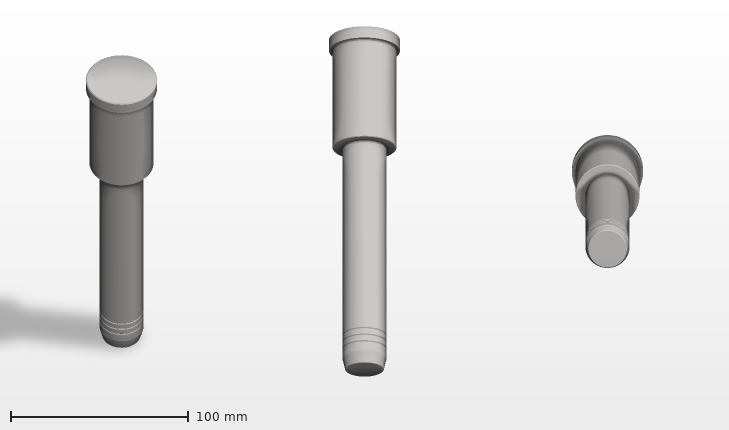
import cadquery as cq

total_length = 200.0
head_height = 7.0
head_and_sleeve_height = 66.0
sleeve_bottom = total_length - head_and_sleeve_height
head_bottom = total_length - head_height

head_radius = 20.0
sleeve_radius = 18.0
pin_radius = 12.5

head_chamfer = 0.5
sleeve_chamfer = 0.5
undercut_height = 1.0
undercut_depth = 0.5
neck_height = 1.2
neck_depth = 0.5

tip_height = 7.0
tip_end_radius = 10.8
tip_fillet = 0.5

groove_count = 3
groove_pitch = 4.0
lowest_groove_center = 12.5
groove_width = 1.0
groove_depth = 0.5


def cylinder(radius, bottom, top):
    """Solid cylinder about the Z axis."""
    return cq.Workplane("XY").workplane(offset=bottom).circle(radius).extrude(top - bottom)


def ring_cut(radius, depth, bottom, height):
    """Ring that removes the given depth from a cylinder of this radius."""
    ring = cq.Workplane("XY").workplane(offset=bottom).circle(radius + depth).circle(radius - depth)
    return ring.extrude(height)


def v_groove_cut(radius, depth, bottom, width):
    """Ring of triangular section that cuts a V-groove into a cylinder of this radius."""
    section = [(radius, bottom), (radius - depth, bottom + width / 2), (radius, bottom + width)]
    return cq.Workplane("XZ").polyline(section).close().revolve(360, (0, 0), (0, 1))


def make_pin():
    """Long pin with a rounded, tapered tip and three V-shaped ring grooves."""
    shaft = cylinder(pin_radius, tip_height, sleeve_bottom)
    tip = (
        cq.Workplane("XY")
        .circle(tip_end_radius)
        .workplane(offset=tip_height)
        .circle(pin_radius)
        .loft(ruled=True)
        .faces("<Z")
        .edges()
        .fillet(tip_fillet)
    )
    pin = shaft.union(tip)
    for index in range(groove_count):
        center = lowest_groove_center + index * groove_pitch
        pin = pin.cut(v_groove_cut(pin_radius, groove_depth, center - groove_width / 2, groove_width))
    return pin.cut(ring_cut(pin_radius, neck_depth, sleeve_bottom - neck_height, neck_height))


def make_sleeve():
    """Thick shank with a chamfered lower edge and a V-shaped undercut below the head."""
    sleeve = cylinder(sleeve_radius, sleeve_bottom, head_bottom).faces("<Z").edges().chamfer(sleeve_chamfer)
    undercut_bottom = head_bottom - undercut_height
    return sleeve.cut(v_groove_cut(sleeve_radius, undercut_depth, undercut_bottom, undercut_height))


def make_head():
    """Flat head with a chamfered top edge."""
    return cylinder(head_radius, head_bottom, total_length).faces(">Z").edges().chamfer(head_chamfer)


result = make_pin().union(make_sleeve()).union(make_head())